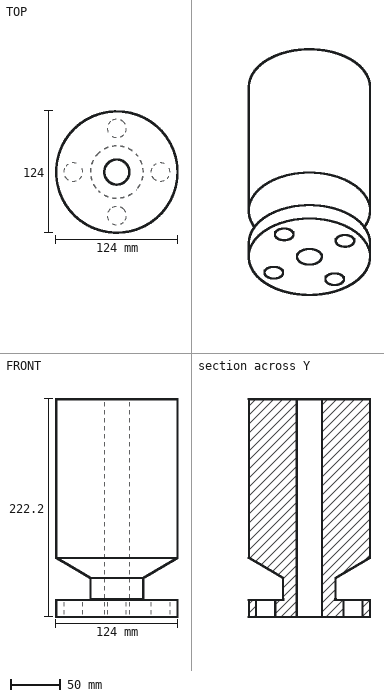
import cadquery as cq

body_diameter = 124.0
total_height = 222.25

flange_diameter = body_diameter
flange_thickness = 17.6
bolt_circle_diameter = 88.9
bolt_hole_diameter = 19.05
bolt_hole_count = 4

neck_diameter = 54.0
neck_foot_diameter = 53.2
neck_foot_height = 0.8
cone_base_height = 39.7
cylinder_base_height = 60.3
bore_diameter = 25.4


def make_revolved_body():
    """Flange, neck, cone and cylinder as one profile turned about Z."""
    flange_radius = flange_diameter / 2
    neck_radius = neck_diameter / 2
    neck_foot_radius = neck_foot_diameter / 2
    neck_foot_top = flange_thickness + neck_foot_height
    body_radius = body_diameter / 2
    profile = [
        (0, 0),
        (flange_radius, 0),
        (flange_radius, flange_thickness),
        (neck_foot_radius, flange_thickness),
        (neck_foot_radius, neck_foot_top),
        (neck_radius, neck_foot_top),
        (neck_radius, cone_base_height),
        (body_radius, cylinder_base_height),
        (body_radius, total_height),
        (0, total_height),
    ]
    return cq.Workplane("XZ").polyline(profile).close().revolve(360, (0, 0, 0), (0, 1, 0))


def make_bore():
    """Central bore through the full height."""
    return cq.Workplane("XY").circle(bore_diameter / 2).extrude(total_height)


def make_bolt_holes():
    """Bolt holes through the flange, the first one on the +X axis."""
    return (
        cq.Workplane("XY")
        .polarArray(bolt_circle_diameter / 2, 0, 360, bolt_hole_count)
        .circle(bolt_hole_diameter / 2)
        .extrude(flange_thickness)
    )


result = make_revolved_body().cut(make_bore()).cut(make_bolt_holes())